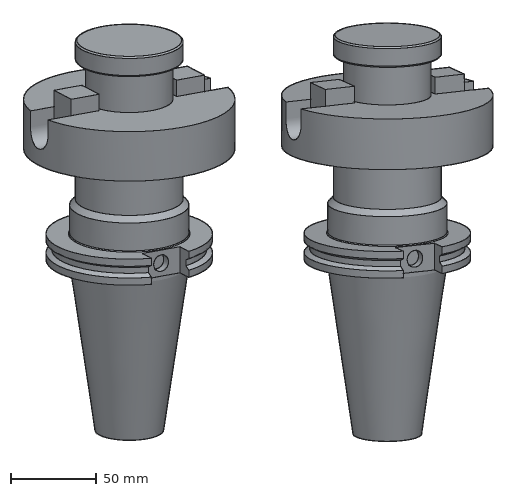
import cadquery as cq

TOTAL_HEIGHT = 239.7
GAUGE_Z = 101.6
GRIP_FLANGE_BOTTOM_Z = 104.8
GRIP_FLANGE_TOP_Z = 120.8
COLLAR_TOP_Z = 142.2
DISC_BOTTOM_Z = 173.0
DISC_TOP_Z = 203.5
CAP_BOTTOM_Z = 227.3

GAUGE_RADIUS = 35.0
TAPER_RATIO = 7 / 24 / 2
TAPER_END_RADIUS = GAUGE_RADIUS - TAPER_RATIO * GAUGE_Z
COLLAR_RADIUS = GAUGE_RADIUS
COLLAR_CHAMFER = 3.5
COLLAR_FLARE = 0.6
NECK_RADIUS = 31.6
DISC_RADIUS = 124.0 / 2
SPIGOT_RADIUS = 25.7

GRIP_FLANGE_RADIUS = 97.5 / 2
GROOVE_DEPTH = 3.4
GROOVE_FLOOR_WIDTH = 3.5
GROOVE_MOUTH_WIDTH = 7.2
GROOVE_Z = (GRIP_FLANGE_BOTTOM_Z + GRIP_FLANGE_TOP_Z) / 2

DRIVE_SLOT_WIDTH = 25.5
DRIVE_SLOT_FLOOR_X = 36.7
DRIVE_HOLE_DIAMETER = 10.0
DRIVE_HOLE_DEPTH = 5.5

KEY_WIDTH = 20.0
KEY_TOP_Z = 213.5
KEY_BOTTOM_Z = 183.1
KEY_INNER_Y = 26.4
KEY_OUTER_Y = 45.3

CAP_RADIUS = NECK_RADIUS
CAP_CHAMFER = 1.0


def make_turned_holder():
    """Taper, grip flange, collar, neck, disc and spigot turned about Z."""
    groove_floor_radius = GRIP_FLANGE_RADIUS - GROOVE_DEPTH
    profile = [
        (0, 0),
        (TAPER_END_RADIUS, 0),
        (GAUGE_RADIUS, GAUGE_Z),
        (GAUGE_RADIUS, GRIP_FLANGE_BOTTOM_Z),
        (GRIP_FLANGE_RADIUS, GRIP_FLANGE_BOTTOM_Z),
        (GRIP_FLANGE_RADIUS, GROOVE_Z - GROOVE_MOUTH_WIDTH / 2),
        (groove_floor_radius, GROOVE_Z - GROOVE_FLOOR_WIDTH / 2),
        (groove_floor_radius, GROOVE_Z + GROOVE_FLOOR_WIDTH / 2),
        (GRIP_FLANGE_RADIUS, GROOVE_Z + GROOVE_MOUTH_WIDTH / 2),
        (GRIP_FLANGE_RADIUS, GRIP_FLANGE_TOP_Z),
        (COLLAR_RADIUS + COLLAR_FLARE, GRIP_FLANGE_TOP_Z),
        (COLLAR_RADIUS, GRIP_FLANGE_TOP_Z + COLLAR_FLARE),
        (COLLAR_RADIUS, COLLAR_TOP_Z - COLLAR_CHAMFER),
        (NECK_RADIUS, COLLAR_TOP_Z),
        (NECK_RADIUS, DISC_BOTTOM_Z),
        (DISC_RADIUS, DISC_BOTTOM_Z),
        (DISC_RADIUS, DISC_TOP_Z),
        (SPIGOT_RADIUS, DISC_TOP_Z),
        (SPIGOT_RADIUS, CAP_BOTTOM_Z),
        (0, CAP_BOTTOM_Z),
    ]
    return cq.Workplane("XZ").polyline(profile).close().revolve(360, (0, 0, 0), (0, 1, 0))


def make_drive_slot(side):
    """Slot through the grip flange and the blind hole in its floor."""
    slot_depth = GRIP_FLANGE_RADIUS - DRIVE_SLOT_FLOOR_X
    floor = cq.Workplane("YZ", origin=(side * DRIVE_SLOT_FLOOR_X, 0, GROOVE_Z))
    slot = floor.rect(DRIVE_SLOT_WIDTH, GRIP_FLANGE_TOP_Z - GRIP_FLANGE_BOTTOM_Z).extrude(side * slot_depth)
    hole = floor.circle(DRIVE_HOLE_DIAMETER / 2).extrude(-side * DRIVE_HOLE_DEPTH)
    return slot.union(hole)


def make_key_bar(side, outer_y, top_z):
    """Round-bottomed bar running along Y from the inner key face to outer_y."""
    half_width = KEY_WIDTH / 2
    arc_z = KEY_BOTTOM_Z + half_width
    return (
        cq.Workplane("XZ", origin=(0, side * KEY_INNER_Y, 0))
        .moveTo(-half_width, top_z)
        .lineTo(-half_width, arc_z)
        .threePointArc((0, KEY_BOTTOM_Z), (half_width, arc_z))
        .lineTo(half_width, top_z)
        .close()
        .extrude(-side * (outer_y - KEY_INNER_Y))
    )


def make_holder():
    """Holder with drive slots in the grip flange and fixed keys in the disc."""
    holder = make_turned_holder()
    for side in (-1, 1):
        holder = holder.cut(make_drive_slot(side))
        holder = holder.cut(make_key_bar(side, DISC_RADIUS, DISC_TOP_Z))
        holder = holder.union(make_key_bar(side, KEY_OUTER_Y, KEY_TOP_Z))
    return holder


def make_cap():
    """Round cap seated on the end face of the spigot."""
    return (
        cq.Workplane("XY", origin=(0, 0, CAP_BOTTOM_Z))
        .circle(CAP_RADIUS)
        .extrude(TOTAL_HEIGHT - CAP_BOTTOM_Z)
        .edges()
        .chamfer(CAP_CHAMFER)
    )


holder = make_holder()
cap = make_cap()
result = cq.Compound.makeCompound([holder.val(), cap.val()])